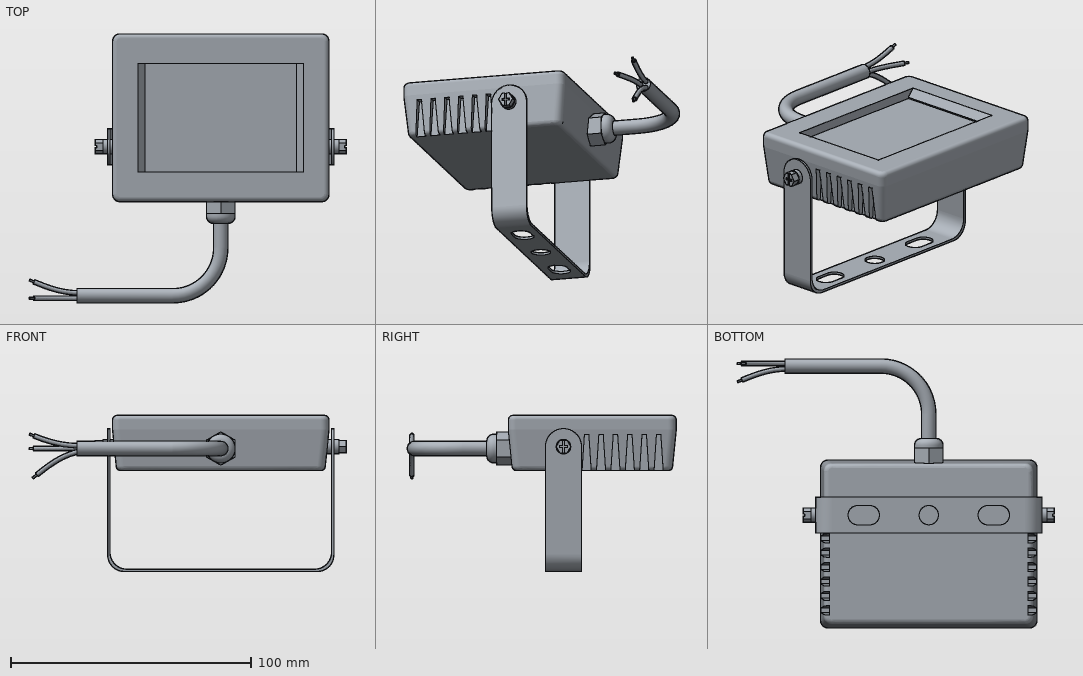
import cadquery as cq
import math


LAMP_LENGTH = 90.1
LAMP_WIDTH = 69.9
LAMP_HEIGHT = 23.1
RIM_HEIGHT = 6.1
DRAFT_INSET = 1.7
CORNER_RADIUS = 3.2
EDGE_RADIUS = 2.0

WINDOW_LENGTH = 69.0
WINDOW_WIDTH = 45.0
WINDOW_END_RUN = 2.9
WINDOW_SLOPE_DEPTH = 3.3
WINDOW_DEPTH = 3.8

GROOVE_COUNT = 6
FIRST_GROOVE_Y = 27.6
LAST_GROOVE_Y = -2.4
GROOVE_DEPTH = 3.7
GROOVE_TOP_WIDTH = 1.8
GROOVE_BOTTOM_WIDTH = 3.8
GROOVE_HEIGHT = 15.0

BRACKET_SPAN = 94.2
BRACKET_WIDTH = 15.0
BRACKET_THICKNESS = 1.0
BRACKET_BEND_RADIUS = 7.0
BRACKET_Y = -12.0
BRACKET_BOTTOM_Z = LAMP_HEIGHT - 65.0
MOUNTING_HOLE_DIAMETER = 8.0
MOUNTING_SLOT_LENGTH = 13.0
MOUNTING_SLOT_OFFSET = 27.0

SCREW_Z = LAMP_HEIGHT - 13.0
SCREW_DIAMETER = 6.1
SCREW_COLLAR_LENGTH = 2.0
SCREW_HEX_LENGTH = 3.2
DRIVER_SLOT_WIDTH = 0.8
DRIVER_SLOT_DEPTH = 0.7
DRIVER_CROSS_LENGTH = 3.2
SCREW_EMBEDMENT = 5.3

GLAND_Z = LAMP_HEIGHT - 13.8
GLAND_DIAMETER = 12.0
GLAND_HEX_LENGTH = 4.9
GLAND_CAP_LENGTH = 4.1
GLAND_CAP_RADIUS = 2.9
GLAND_EMBEDMENT = 4.0
GLAND_ROOT_Y = -LAMP_WIDTH / 2 + GLAND_EMBEDMENT

CABLE_DIAMETER = 6.1
CABLE_BEND_RADIUS = 19.9
CABLE_BEND_START_Y = -54.1
CABLE_TAIL_LENGTH = 40.0

WIRE_DIAMETER = 2.0
CORE_DIAMETER = 0.9
WIRE_ROOT = 1.3

WIRES = [
    {
        "start": (-1.0, 1.2),
        "tip": (-17.8, -1.0, 5.3),
        "start_slope": (0, 0),
        "tip_slope": (0, 0.4),
        "core_length": 2.0,
    },
    {
        "start": (-1.0, -1.2),
        "tip": (-16.6, -1.0, -11.0),
        "start_slope": (0, -0.2),
        "tip_slope": (0, -0.8),
        "core_length": 2.1,
    },
    {
        "start": (1.2, 0),
        "tip": (-17.8, 5.8, 0),
        "start_slope": (0, 0),
        "tip_slope": (0.4, 0),
        "core_length": 2.0,
    },
]

CABLE_END_X = -CABLE_BEND_RADIUS - CABLE_TAIL_LENGTH
CABLE_END_Y = CABLE_BEND_START_Y - CABLE_BEND_RADIUS


def make_housing():
    inset = 2 * DRAFT_INSET
    full_outline = cq.Sketch().rect(LAMP_LENGTH, LAMP_WIDTH).vertices().fillet(CORNER_RADIUS)
    back_outline = cq.Sketch().rect(LAMP_LENGTH - inset, LAMP_WIDTH - inset).vertices().fillet(CORNER_RADIUS)
    rim_bottom = LAMP_HEIGHT - RIM_HEIGHT
    back = cq.Workplane("XY").placeSketch(back_outline, full_outline.moved(z=rim_bottom)).loft(ruled=True)
    rim = cq.Workplane("XY", origin=(0, 0, rim_bottom)).placeSketch(full_outline).extrude(RIM_HEIGHT)
    return back.union(rim).faces("<Z or >Z").edges().fillet(EDGE_RADIUS)


def make_window():
    half = WINDOW_LENGTH / 2
    floor_half = half - WINDOW_END_RUN
    slope_foot_z = LAMP_HEIGHT - WINDOW_SLOPE_DEPTH
    floor_z = LAMP_HEIGHT - WINDOW_DEPTH
    profile = [
        (-half, LAMP_HEIGHT),
        (-floor_half, slope_foot_z),
        (-floor_half, floor_z),
        (floor_half, floor_z),
        (floor_half, slope_foot_z),
        (half, LAMP_HEIGHT),
    ]
    return cq.Workplane("XZ").polyline(profile).close().extrude(WINDOW_WIDTH / 2, both=True)


def make_grooves(side):
    grooves = cq.Workplane("XY")
    outline = [
        (-GROOVE_BOTTOM_WIDTH / 2, 0),
        (GROOVE_BOTTOM_WIDTH / 2, 0),
        (GROOVE_TOP_WIDTH / 2, GROOVE_HEIGHT),
        (-GROOVE_TOP_WIDTH / 2, GROOVE_HEIGHT),
    ]
    pitch = (FIRST_GROOVE_Y - LAST_GROOVE_Y) / (GROOVE_COUNT - 1)
    floor_x = side * (LAMP_LENGTH / 2 - GROOVE_DEPTH)
    for index in range(GROOVE_COUNT):
        groove_y = FIRST_GROOVE_Y - index * pitch
        plane = cq.Workplane("YZ", origin=(floor_x, groove_y, 0))
        grooves = grooves.add(plane.polyline(outline).close().extrude(side * GROOVE_DEPTH))
    return grooves.combine()


def make_screw():
    """Screw on the +X side: shank and collar, then a hexagonal head with a cross recess."""
    collar_end = BRACKET_SPAN / 2 + SCREW_COLLAR_LENGTH
    head_end = collar_end + SCREW_HEX_LENGTH
    root = LAMP_LENGTH / 2 - SCREW_EMBEDMENT
    axis = cq.Workplane("YZ", origin=(0, BRACKET_Y, SCREW_Z))
    shank = axis.workplane(offset=root).circle(SCREW_DIAMETER / 2).extrude(collar_end - root)
    head = axis.workplane(offset=collar_end).polygon(6, SCREW_DIAMETER).extrude(SCREW_HEX_LENGTH)
    recess = axis.workplane(offset=head_end)
    slot = recess.rect(DRIVER_SLOT_WIDTH, SCREW_DIAMETER).extrude(-DRIVER_SLOT_DEPTH)
    cross = recess.rect(DRIVER_CROSS_LENGTH, DRIVER_SLOT_WIDTH).extrude(-DRIVER_SLOT_DEPTH)
    return shank.union(head).cut(slot).cut(cross)


def make_gland():
    hex_end_y = -LAMP_WIDTH / 2 - GLAND_HEX_LENGTH
    corner_diameter = GLAND_DIAMETER / math.cos(math.pi / 6)
    root = cq.Workplane("XZ", origin=(0, GLAND_ROOT_Y, GLAND_Z))
    nut = root.polygon(6, corner_diameter).extrude(GLAND_ROOT_Y - hex_end_y)
    nut = nut.rotate((0, 0, GLAND_Z), (0, 1, GLAND_Z), 30)
    cap_base = cq.Workplane("XZ", origin=(0, hex_end_y, GLAND_Z))
    cap = cap_base.circle(GLAND_DIAMETER / 2).extrude(GLAND_CAP_LENGTH)
    return nut.union(cap.faces("<Y").edges().fillet(GLAND_CAP_RADIUS))


def make_cable():
    bend_45 = CABLE_BEND_RADIUS * math.sqrt(0.5)
    path = (
        cq.Workplane("XY", origin=(0, 0, GLAND_Z))
        .moveTo(0, GLAND_ROOT_Y)
        .lineTo(0, CABLE_BEND_START_Y)
        .threePointArc(
            (bend_45 - CABLE_BEND_RADIUS, CABLE_BEND_START_Y - bend_45),
            (-CABLE_BEND_RADIUS, CABLE_END_Y),
        )
        .lineTo(CABLE_END_X, CABLE_END_Y)
    )
    section = cq.Workplane("XZ", origin=(0, GLAND_ROOT_Y, GLAND_Z)).circle(CABLE_DIAMETER / 2)
    return section.sweep(path)


def make_wire(start, tip, start_slope, tip_slope, core_length):
    """Curved insulated wire with a straight bare core at its tip."""
    cable_end = cq.Vector(CABLE_END_X, CABLE_END_Y, GLAND_Z)
    start_direction = cq.Vector(-1, *start_slope).normalized()
    tip_direction = cq.Vector(-1, *tip_slope).normalized()
    start_point = cable_end + cq.Vector(WIRE_ROOT, *start)
    tip_point = cable_end + cq.Vector(*tip)
    centre_line = cq.Edge.makeSpline([start_point, tip_point], tangents=[start_direction, tip_direction])
    section = cq.Workplane(cq.Plane(start_point, normal=start_direction)).circle(WIRE_DIAMETER / 2)
    insulation = section.sweep(cq.Workplane(cq.Wire.assembleEdges([centre_line])))
    core_plane = cq.Plane(tip_point, normal=tip_direction)
    core = cq.Workplane(core_plane).circle(CORE_DIAMETER / 2).extrude(core_length)
    return insulation.union(core)


def make_lamp():
    lamp = make_housing().cut(make_window())
    for side in (-1, 1):
        lamp = lamp.cut(make_grooves(side))
    screw = make_screw()
    lamp = lamp.union(screw).union(screw.mirror("YZ"))
    lamp = lamp.union(make_gland()).union(make_cable())
    for wire in WIRES:
        lamp = lamp.union(make_wire(**wire))
    return lamp


def make_bracket():
    leg_top = SCREW_Z + BRACKET_WIDTH / 2
    height = leg_top - BRACKET_BOTTOM_Z
    plane = cq.Workplane("XZ", origin=(0, BRACKET_Y, BRACKET_BOTTOM_Z + height / 2))
    outer = plane.rect(BRACKET_SPAN, height).extrude(BRACKET_WIDTH / 2, both=True)
    outer = outer.edges("|Y and <Z").fillet(BRACKET_BEND_RADIUS)
    inner = (
        plane.center(0, BRACKET_THICKNESS)
        .rect(BRACKET_SPAN - 2 * BRACKET_THICKNESS, height)
        .extrude(BRACKET_WIDTH, both=True)
        .edges("|Y and <Z")
        .fillet(BRACKET_BEND_RADIUS)
    )
    screw_axis = cq.Workplane("YZ", origin=(0, BRACKET_Y, SCREW_Z))
    round_topped_outline = (
        screw_axis.moveTo(-BRACKET_WIDTH / 2, -height)
        .lineTo(-BRACKET_WIDTH / 2, 0)
        .threePointArc((0, BRACKET_WIDTH / 2), (BRACKET_WIDTH / 2, 0))
        .lineTo(BRACKET_WIDTH / 2, -height)
        .close()
        .extrude(BRACKET_SPAN, both=True)
    )
    strap = outer.cut(inner).intersect(round_topped_outline)
    screw_holes = screw_axis.circle(SCREW_DIAMETER / 2).extrude(BRACKET_SPAN, both=True)
    base = cq.Workplane("XY", origin=(0, BRACKET_Y, BRACKET_BOTTOM_Z))
    hole = base.circle(MOUNTING_HOLE_DIAMETER / 2).extrude(BRACKET_THICKNESS)
    slots = (
        base.pushPoints([(-MOUNTING_SLOT_OFFSET, 0), (MOUNTING_SLOT_OFFSET, 0)])
        .slot2D(MOUNTING_SLOT_LENGTH, MOUNTING_HOLE_DIAMETER)
        .extrude(BRACKET_THICKNESS)
    )
    return strap.cut(screw_holes).cut(hole).cut(slots)


lamp = make_lamp()
bracket = make_bracket()
result = cq.Compound.makeCompound([lamp.solids().val(), bracket.solids().val()])